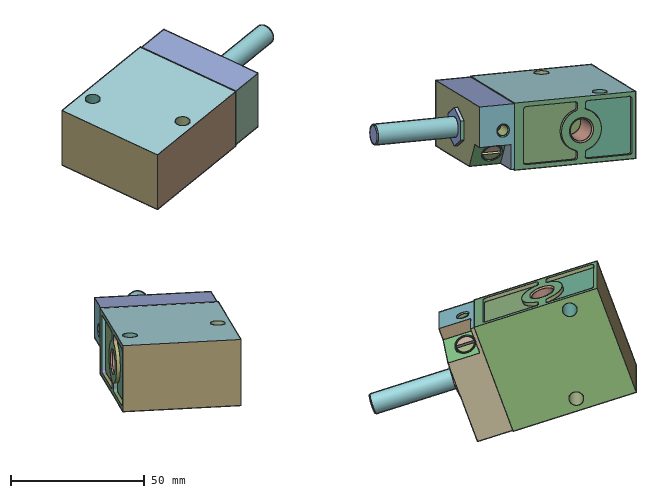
import cadquery as cq
import math


body_width = 45.0
body_length = 48.9
body_height = 26.0

cap_inset = 0.3
cap_length = 14.1
cap_width = body_width - 2 * cap_inset
cap_height = body_height - 2 * cap_inset
cap_end = body_length + cap_length

total_length = 97.0
nut_across_corners = 14.9
nut_thickness = 1.4
stem_diameter = 8.0
stem_chamfer = 0.3
stem_chamfer_length = 0.5

mount_diameter = 5.5
mount_offset = 17.6
left_mount_y = 12.6
right_mount_y = 22.1

port_y = 21.9
port_diameter = 8.5
port_mouth_diameter = 9.7
port_depth = 11.6
port_boss_diameter = 16.1

recess_start = 1.5
recess_end = 45.3
recess_height = 22.5
recess_depth = 1.5
recess_corner_radius = 1.2
web_width = 3.1

exhaust_y = 53.4
exhaust_z = 2.7
exhaust_diameter = 4.2
exhaust_mouth_diameter = 5.0
exhaust_depth = 7.8

notch_start = 50.3
notch_top = -3.0
notch_tilt = 30.0
notch_ledge_depth = 4.85
screw_y = 55.0
screw_z = -7.5
screw_hole_diameter = 8.2
screw_head_diameter = 7.5
screw_head_chamfer = 0.24
screw_depth = 1.9
slot_width = 1.1

left_face = -body_width / 2
cap_left_face = -cap_width / 2
notch_corner_x = cap_left_face + notch_ledge_depth


def box_along_y(width, height, start, end):
    """Box centred on the Y axis between two Y positions."""
    box = cq.Workplane("XY").box(width, end - start, height, centered=(True, False, True))
    return box.translate((0, start, 0))


def hole_with_mouth(face_x, y, z, diameter, mouth_diameter, depth):
    """Blind hole running toward +X with a 45 degree chamfered mouth."""
    chamfer = (mouth_diameter - diameter) / 2
    profile = [
        (0, 0),
        (mouth_diameter / 2, 0),
        (diameter / 2, chamfer),
        (diameter / 2, depth),
        (0, depth),
    ]
    hole = cq.Workplane("XY").polyline(profile).close().revolve(360, (0, 0), (0, 1))
    return hole.rotate((0, 0, 0), (0, 0, 1), -90).translate((face_x, y, z))


def make_end_fitting():
    """Nut with one pair of corners pointing along Z, and the stem through it."""
    nut = (
        cq.Workplane("XZ", origin=(0, cap_end, 0))
        .polygon(6, nut_across_corners)
        .extrude(-nut_thickness)
        .rotate((0, 0, 0), (0, 1, 0), 90)
    )
    stem = (
        cq.Workplane("XZ", origin=(0, cap_end, 0))
        .circle(stem_diameter / 2)
        .extrude(-(total_length - cap_end))
        .faces(">Y")
        .chamfer(stem_chamfer_length, stem_chamfer)
    )
    return nut.union(stem)


def make_mount_holes():
    return (
        cq.Workplane("XY", origin=(0, 0, -body_height / 2))
        .pushPoints([(-mount_offset, left_mount_y), (mount_offset, right_mount_y)])
        .circle(mount_diameter / 2)
        .extrude(body_height)
    )


def make_label_recess():
    """Two rounded pockets left between the recess border, the web and the boss."""
    area = cq.Workplane("XY").box(
        recess_depth, recess_end - recess_start, recess_height, centered=(False, False, True)
    ).translate((left_face, recess_start, 0))
    web = cq.Workplane("XY").box(
        recess_depth, web_width, recess_height, centered=(False, True, True)
    ).translate((left_face, port_y, 0))
    boss = (
        cq.Workplane("YZ", origin=(left_face, port_y, 0))
        .circle(port_boss_diameter / 2)
        .extrude(recess_depth)
    )
    pockets = area.cut(web).cut(boss)
    return pockets.edges("|X").fillet(recess_corner_radius)


def make_notch():
    """Cut below the ledge, back to a face that slopes inward toward the bottom."""
    bottom = -cap_height / 2
    run = (notch_top - bottom) * math.tan(math.radians(notch_tilt))
    return (
        cq.Workplane("XZ", origin=(0, notch_start, 0))
        .polyline([
            (cap_left_face, notch_top),
            (notch_corner_x, notch_top),
            (notch_corner_x + run, bottom),
            (cap_left_face, bottom),
        ])
        .close()
        .extrude(-(cap_end - notch_start))
    )


def make_screw_cut():
    """Ring gap around the screw head and the slot across it, sunk into the sloped face."""
    tilt = math.radians(notch_tilt)
    screw_x = notch_corner_x + (notch_top - screw_z) * math.tan(tilt)
    sloped_face = cq.Plane(
        origin=(screw_x, screw_y, screw_z),
        xDir=(0, 1, 0),
        normal=(math.cos(tilt), 0, math.sin(tilt)),
    )
    hole = cq.Workplane(sloped_face).circle(screw_hole_diameter / 2).extrude(screw_depth)
    head = (
        cq.Workplane(sloped_face)
        .circle(screw_head_diameter / 2)
        .extrude(screw_depth)
        .faces("<X")
        .chamfer(screw_head_chamfer)
    )
    slot = cq.Workplane(sloped_face).rect(screw_head_diameter, slot_width).extrude(screw_depth)
    return hole.cut(head).union(slot)


body = box_along_y(body_width, body_height, 0, body_length)
cap = box_along_y(cap_width, cap_height, body_length, cap_end)

result = (
    body.union(cap)
    .union(make_end_fitting())
    .cut(make_mount_holes())
    .cut(make_label_recess())
    .cut(hole_with_mouth(left_face, port_y, 0, port_diameter, port_mouth_diameter, port_depth))
    .cut(hole_with_mouth(
        cap_left_face, exhaust_y, exhaust_z, exhaust_diameter, exhaust_mouth_diameter, exhaust_depth
    ))
    .cut(make_notch())
    .cut(make_screw_cut())
)